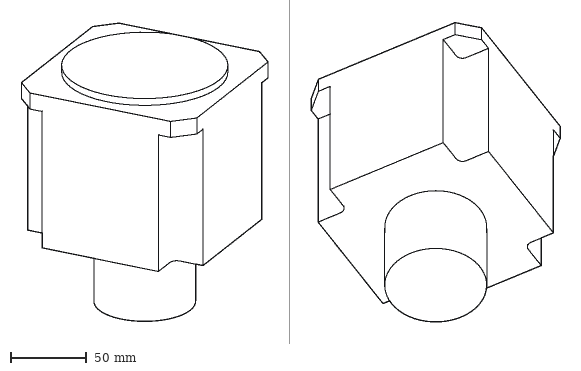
import cadquery as cq

total_height = 170.0
flange_width = 130.0
body_width = 130.0

shaft_length = 55.0
disc_height = 5.0
flange_height = 11.5
flange_top = total_height - disc_height
flange_bottom = flange_top - flange_height

shaft_diameter = 67.5
disc_diameter = 110.0

flange_chamfer = 13.0
notch_size = 22.0
notch_fillet = 5.0


def cylinder(diameter, bottom, top):
    """Vertical cylinder centred on the Z axis."""
    return cq.Workplane("XY").workplane(offset=bottom).circle(diameter / 2).extrude(top - bottom)


def notched_body():
    """Square block whose four vertical corners carry filleted square notches."""
    height = flange_bottom - shaft_length
    block = cq.Workplane("XY").workplane(offset=shaft_length).rect(body_width, body_width).extrude(height)
    cutters = (
        cq.Workplane("XY")
        .workplane(offset=shaft_length)
        .rect(body_width, body_width, forConstruction=True)
        .vertices()
        .rect(2 * notch_size, 2 * notch_size)
        .extrude(height)
        .edges("|Z")
        .fillet(notch_fillet)
    )
    return block.cut(cutters)


def chamfered_flange():
    """Square plate with its vertical corners cut at 45 degrees."""
    return (
        cq.Workplane("XY")
        .workplane(offset=flange_bottom)
        .rect(flange_width, flange_width)
        .extrude(flange_height)
        .edges("|Z")
        .chamfer(flange_chamfer)
    )


shaft = cylinder(shaft_diameter, 0, shaft_length)
disc = cylinder(disc_diameter, flange_top, total_height)
result = shaft.union(notched_body()).union(chamfered_flange()).union(disc)